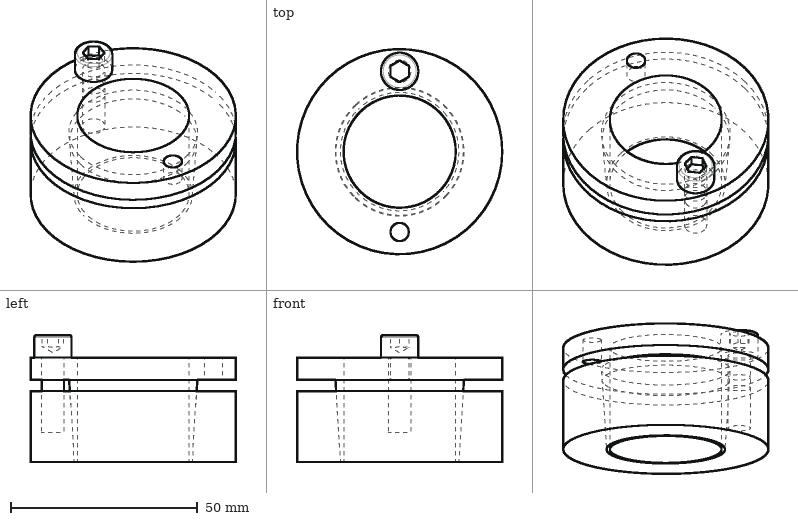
import cadquery as cq
import math

outer_diameter = 55.0
bore_diameter = 30.0
base_height = 19.05
gap = 2.95
flange_thickness = 6.0
flange_bottom = base_height + gap
flange_top = flange_bottom + flange_thickness

hub_top_diameter = 34.5
hub_taper = 1 / 8
hub_bottom_diameter = hub_top_diameter - hub_taper * flange_bottom

hole_offset = 21.5
jack_hole_diameter = 4.9

shank_diameter = 6.0
shank_length = 20.0
shank_bottom = flange_top - shank_length
head_diameter = 10.0
head_height = 6.0
head_fillet = 0.6
socket_across_flats = 5.0
socket_depth = 3.0
socket_corner_radius = socket_across_flats / math.sqrt(3)
socket_point_angle = 30.0
socket_point_depth = socket_corner_radius * math.tan(math.radians(socket_point_angle))


def cylinder(diameter, bottom, height, y=0.0):
    """Upright cylinder whose axis is at x = 0 and the given y."""
    return cq.Workplane("XY", origin=(0, y, bottom)).circle(diameter / 2).extrude(height)


def upright_cone(bottom_radius, top_radius, bottom, height, y=0.0):
    """Upright cone or truncated cone whose axis is at x = 0 and the given y."""
    return cq.Workplane(obj=cq.Solid.makeCone(bottom_radius, top_radius, height, pnt=cq.Vector(0, y, bottom)))


def make_hub_cone():
    """Solid taper shared by the hub and its seat in the base."""
    return upright_cone(hub_bottom_diameter / 2, hub_top_diameter / 2, 0, flange_bottom)


def make_shank():
    """Screw shank, also used to cut its holes."""
    return cylinder(shank_diameter, shank_bottom, shank_length, hole_offset)


def make_base():
    """Ring with a tapered seat and a blind screw hole."""
    return cylinder(outer_diameter, 0, base_height).cut(make_hub_cone()).cut(make_shank())


def make_bushing():
    """Flange with a tapered hub, a through bore, a screw hole and a jacking hole."""
    flange = cylinder(outer_diameter, flange_bottom, flange_thickness)
    bore = cylinder(bore_diameter, 0, flange_top)
    jack_hole = cylinder(jack_hole_diameter, flange_bottom, flange_thickness, -hole_offset)
    return flange.union(make_hub_cone()).cut(bore).cut(make_shank()).cut(jack_hole)


def make_socket():
    """Hexagonal recess with corners along Y and a conical floor."""
    head_top = flange_top + head_height
    wall_bottom = head_top - socket_depth
    point_bottom = wall_bottom - socket_point_depth
    hexagon = (
        cq.Workplane("XY", origin=(0, hole_offset, point_bottom))
        .transformed(rotate=(0, 0, 90))
        .polygon(6, 2 * socket_corner_radius)
        .extrude(head_top - point_bottom)
    )
    drill_body = cylinder(2 * socket_corner_radius, wall_bottom, socket_depth, hole_offset)
    drill_point = upright_cone(0, socket_corner_radius, point_bottom, socket_point_depth, hole_offset)
    return hexagon.intersect(drill_body.union(drill_point))


def make_screw():
    """Socket head screw standing on the flange."""
    head = cylinder(head_diameter, flange_top, head_height, hole_offset)
    head = head.faces(">Z").edges().fillet(head_fillet)
    return head.union(make_shank()).cut(make_socket())


base = make_base()
bushing = make_bushing()
screw = make_screw()

result = cq.Compound.makeCompound([base.val(), bushing.val(), screw.val()])